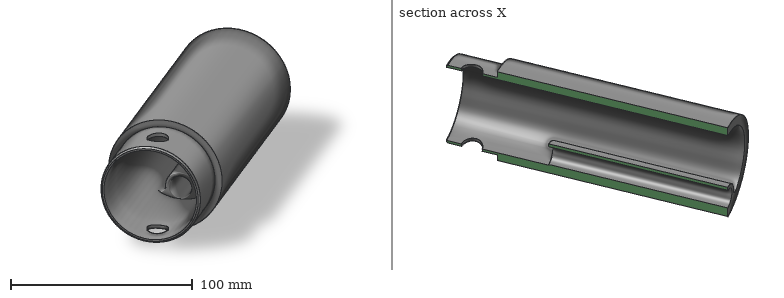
import math
import cadquery as cq

length = 165.0
body_diameter = 65.0
spigot_diameter = 57.0
spigot_length = 29.9
bore_diameter = 53.0
spigot_chamfer = 1.0
bore_radius = bore_diameter / 2

cross_hole_diameter = 12.0
cross_hole_y = spigot_length / 2

conduit_bore_diameter = 12.5
conduit_outer_diameter = 17.5
conduit_z = -19.6
conduit_start_y = 2 * spigot_length
conduit_length = length - conduit_start_y
conduit_blend_radius = 3.0
conduit_end_round = 1.2
conduit_root_reach = 5.0
conduit_root_z = -30.5
conduit_outer_radius = conduit_outer_diameter / 2


def cylinder(diameter, start_y, extent, center_z=0):
    """Solid cylinder along +Y from start_y."""
    plane = cq.Workplane("XZ", origin=(0, start_y, center_z))
    return plane.circle(diameter / 2).extrude(-extent)


def make_tube():
    """Stepped, bored tube with a chamfered spigot mouth and a vertical cross hole."""
    spigot = cylinder(spigot_diameter, 0, length).faces("<Y").chamfer(spigot_chamfer)
    tube = spigot.union(cylinder(body_diameter, spigot_length, length - spigot_length))
    tube = tube.cut(cylinder(bore_diameter, 0, length))
    cross_hole = cq.Workplane("XY").center(0, cross_hole_y).circle(cross_hole_diameter / 2)
    return tube.cut(cross_hole.extrude(body_diameter, both=True))


def make_conduit():
    """Conduit whose flanks blend into the bore, with a fully rounded front rim."""
    to_axis = bore_radius - conduit_blend_radius
    to_conduit = conduit_outer_radius + conduit_blend_radius
    blend_z = (to_axis**2 - to_conduit**2 + conduit_z**2) / (2 * conduit_z)
    blend_x = math.sqrt(to_axis**2 - blend_z**2)

    flank_fraction = conduit_outer_radius / to_conduit
    flank_x = blend_x * flank_fraction
    flank_z = conduit_z + (blend_z - conduit_z) * flank_fraction
    bore_scale = bore_radius / to_axis
    contact_x = blend_x * bore_scale
    contact_z = blend_z * bore_scale
    root_x = contact_x - conduit_root_reach * blend_z / to_axis
    root_z = contact_z + conduit_root_reach * blend_x / to_axis

    bisect_x = blend_x / to_axis - blend_x / to_conduit
    bisect_z = blend_z / to_axis - (blend_z - conduit_z) / to_conduit
    bisect_length = math.hypot(bisect_x, bisect_z)
    middle_x = blend_x + conduit_blend_radius * bisect_x / bisect_length
    middle_z = blend_z + conduit_blend_radius * bisect_z / bisect_length

    profile = (
        cq.Workplane("XZ", origin=(0, conduit_start_y, 0))
        .moveTo(-flank_x, flank_z)
        .threePointArc((0, conduit_z + conduit_outer_radius), (flank_x, flank_z))
        .threePointArc((middle_x, middle_z), (contact_x, contact_z))
        .lineTo(root_x, root_z)
        .lineTo(root_x, conduit_root_z)
        .lineTo(-root_x, conduit_root_z)
        .lineTo(-root_x, root_z)
        .lineTo(-contact_x, contact_z)
        .threePointArc((-middle_x, middle_z), (-flank_x, flank_z))
        .close()
    )
    conduit = profile.extrude(-conduit_length)
    conduit = conduit.cut(cylinder(conduit_bore_diameter, conduit_start_y, conduit_length, conduit_z))
    rim_edges = conduit.faces("<Y").edges("%CIRCLE")
    conduit = rim_edges.fillet(conduit_end_round)

    middle_of_wall = (body_diameter + bore_diameter) / 2
    return conduit.intersect(cylinder(middle_of_wall, conduit_start_y, conduit_length))


result = make_tube().union(make_conduit())